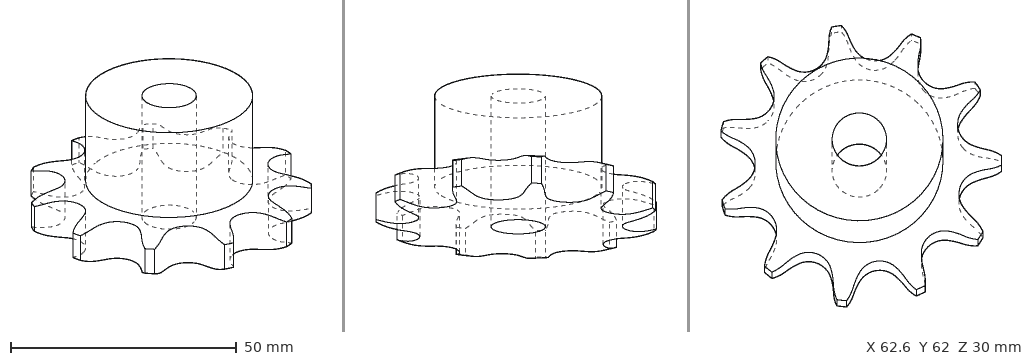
import cadquery as cq
import math


teeth = 11
roller_diameter = 10.15
pitch_radius = 28.2
tip_radius = 31.5
seat_clearance = 0.04
rim_overlap = 0.3

plate_thickness = 9.1
side_round_radius = 16.05
side_round_depth = 1.5
hub_diameter = 37.0
total_height = 30.0
bore_diameter = 12.0

seat_angle = math.radians(35 + 60 / teeth)
working_angle = math.radians(18 - 56 / teeth)
topping_angle = math.radians(17 - 64 / teeth)
seat_radius = 0.5025 * roller_diameter + seat_clearance
working_offset = 0.8 * roller_diameter
topping_offset = 1.4 * roller_diameter
working_radius = working_offset + seat_radius
flat_length = topping_offset * math.sin(topping_angle) - working_offset * math.sin(working_angle)
topping_radius = (
    working_offset * math.cos(working_angle)
    + topping_offset * math.cos(topping_angle)
    - working_radius
)


def from_center(center, radius, angle):
    """Point at a distance and direction from a center."""
    return (center[0] + radius * math.cos(angle), center[1] + radius * math.sin(angle))


def mirrored(point):
    """Point reflected to the other flank of the gap on the Y axis."""
    return (-point[0], point[1])


def tooth_gap():
    """Cutter for the tooth gap centered on +Y."""
    roller_center = (0, pitch_radius)

    seat_bottom = (0, pitch_radius - seat_radius)
    seat_end = from_center(roller_center, seat_radius, -seat_angle)
    working_center = from_center(roller_center, working_offset, math.pi - seat_angle)
    flat_angle = working_angle - seat_angle
    working_middle = from_center(working_center, working_radius, flat_angle - working_angle / 2)
    flat_start = from_center(working_center, working_radius, flat_angle)

    flat_end = from_center(flat_start, flat_length, flat_angle + math.pi / 2)
    topping_center = from_center(flat_end, topping_radius, flat_angle)

    rim_radius = tip_radius + rim_overlap
    center_distance = math.hypot(*topping_center)
    rim_offset = math.acos(
        (rim_radius**2 + center_distance**2 - topping_radius**2)
        / (2 * rim_radius * center_distance)
    )
    rim_angle = math.atan2(topping_center[1], topping_center[0]) + rim_offset
    rim_end = from_center((0, 0), rim_radius, rim_angle)
    topping_start_angle = flat_angle + math.pi
    topping_end_angle = math.atan2(rim_end[1] - topping_center[1], rim_end[0] - topping_center[0])
    topping_middle = from_center(
        topping_center, topping_radius, (topping_start_angle + topping_end_angle) / 2
    )

    return (
        cq.Workplane("XY")
        .moveTo(*mirrored(seat_end))
        .threePointArc(seat_bottom, seat_end)
        .threePointArc(working_middle, flat_start)
        .lineTo(*flat_end)
        .threePointArc(topping_middle, rim_end)
        .threePointArc((0, rim_radius), mirrored(rim_end))
        .threePointArc(mirrored(topping_middle), mirrored(flat_end))
        .lineTo(*mirrored(flat_start))
        .threePointArc(mirrored(working_middle), mirrored(seat_end))
        .close()
        .extrude(plate_thickness)
    )


def plate_blank():
    """Round plate whose two sides curve in towards the rim."""
    round_width = math.sqrt(side_round_radius**2 - (side_round_radius - side_round_depth) ** 2)
    flat_radius = tip_radius - round_width
    middle_drop = side_round_radius - math.sqrt(side_round_radius**2 - (round_width / 2) ** 2)
    middle_radius = flat_radius + round_width / 2
    return (
        cq.Workplane("XZ")
        .lineTo(flat_radius, 0)
        .threePointArc((middle_radius, middle_drop), (tip_radius, side_round_depth))
        .lineTo(tip_radius, plate_thickness - side_round_depth)
        .threePointArc(
            (middle_radius, plate_thickness - middle_drop), (flat_radius, plate_thickness)
        )
        .lineTo(0, plate_thickness)
        .close()
        .revolve(360, (0, 0, 0), (0, 1, 0))
    )


sprocket = plate_blank()
gap = tooth_gap()
for index in range(teeth):
    sprocket = sprocket.cut(gap.rotate((0, 0, 0), (0, 0, 1), index * 360 / teeth))

hub = cq.Workplane("XY").circle(hub_diameter / 2).extrude(total_height)
bore = cq.Workplane("XY").circle(bore_diameter / 2).extrude(total_height)

result = sprocket.union(hub).cut(bore)